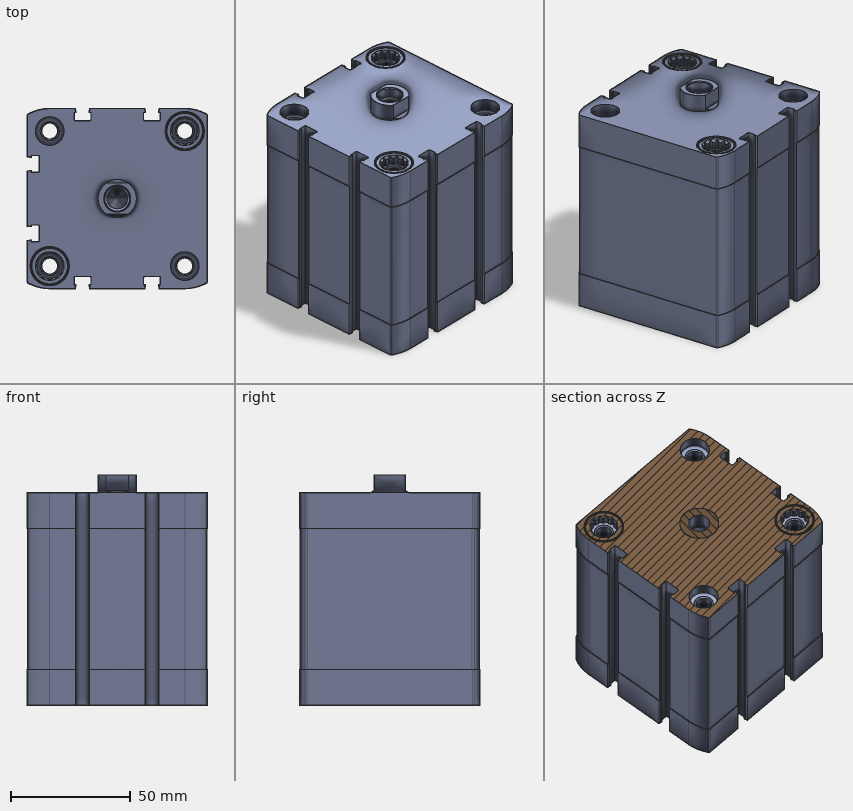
import cadquery as cq
import math

cap_width = 75.5
barrel_inset = 0.25
housing_height = 89.0
cap_height = 15.0
barrel_height = housing_height - 2 * cap_height
corner_arc_radius = 19.0
corner_edge_fillet = 1.0
screw_offset = 28.25

slot_offset = 14.53
slot_mouth_width = 5.9
slot_mouth_depth = 1.0
slot_neck_width = 5.5
slot_neck_depth = 1.8
slot_inner_width = 6.9
slot_corner_fillet = 0.4
slot_depth = 5.1
slot_side_angles = (0, 90, 180)

thread_core_diameter = 6.65
thread_mouth_diameter = 8.0
thread_mouth_depth = 0.4
counterbore_diameter = 12.0
counterbore_depth = 5.3

groove_diameter = 16.4
insert_diameter = 15.5
insert_chamfer = 0.3
groove_depth = 1.0
insert_recess = 0.2
insert_top = housing_height - insert_recess
socket_tip_diameter = 12.0
socket_bore_diameter = 10.5
socket_square_count = 3
socket_mouth_depth = 1.3
socket_depth = 4.5
socket_floor = housing_height - socket_depth

rod_diameter = 16.0
rod_projection = 7.5
rod_insertion = cap_height
rod_top = housing_height + rod_projection
rod_flats = 13.0
flat_ramp_angle = 30.0
rod_mouth_diameter = 11.3
rod_counterbore_diameter = 10.5
rod_counterbore_depth = 4.5
rod_core_diameter = 8.57
rod_core_depth = 16.0
drill_tip_half_angle = 59.0


def rounded_block(width, base_z, height):
    """Square block whose corners bulge along arcs that start at the screw positions."""
    half = width / 2
    run = half - screw_offset
    rise = math.sqrt(corner_arc_radius**2 - run**2)
    drop = corner_arc_radius - rise
    mid_angle = math.asin(run / corner_arc_radius) / 2
    mid_x = screw_offset + corner_arc_radius * math.sin(mid_angle)
    mid_y = half - corner_arc_radius * (1 - math.cos(mid_angle))
    end_y = half - drop
    block = (
        cq.Workplane("XY", origin=(0, 0, base_z))
        .moveTo(-screw_offset, half)
        .lineTo(screw_offset, half)
        .threePointArc((mid_x, mid_y), (half, end_y))
        .lineTo(half, -end_y)
        .threePointArc((mid_x, -mid_y), (screw_offset, -half))
        .lineTo(-screw_offset, -half)
        .threePointArc((-mid_x, -mid_y), (-half, -end_y))
        .lineTo(-half, end_y)
        .threePointArc((-mid_x, mid_y), (-screw_offset, half))
        .close()
        .extrude(height)
    )
    for side in (">X", "<X"):
        block = block.faces(side).edges("|Z").fillet(corner_edge_fillet)
    return block


def side_slots(side_angle):
    """Pair of full-height T-slots with stepped mouths in the -Y side, turned about Z to the chosen side."""
    outer_y = -cap_width / 2
    neck = (
        cq.Workplane("XY", origin=(0, outer_y + slot_depth / 2, 0))
        .rect(slot_neck_width, slot_depth)
        .extrude(housing_height)
    )
    mouth = (
        cq.Workplane("XY", origin=(0, outer_y + slot_mouth_depth / 2, 0))
        .rect(slot_mouth_width, slot_mouth_depth)
        .extrude(housing_height)
    )
    inner_length = slot_depth - slot_neck_depth
    inner = (
        cq.Workplane("XY", origin=(0, outer_y + slot_depth - inner_length / 2, 0))
        .rect(slot_inner_width, inner_length)
        .extrude(housing_height)
        .edges("|Z and >Y")
        .fillet(slot_corner_fillet)
    )
    slot = neck.union(mouth).union(inner)
    pair = slot.translate((-slot_offset, 0, 0)).union(slot.translate((slot_offset, 0, 0)))
    return pair.rotate((0, 0, 0), (0, 0, 1), -side_angle)


def cone(large_diameter, small_diameter, top_z, depth):
    """Downward-narrowing cone on the Z axis."""
    top_centre = cq.Vector(0, 0, top_z)
    downward = cq.Vector(0, 0, -1)
    return cq.Workplane(
        cq.Solid.makeCone(large_diameter / 2, small_diameter / 2, depth, top_centre, downward)
    )


def cylinder(diameter, top_z, depth):
    """Cylinder on the Z axis, extending down from its top."""
    return cq.Workplane("XY", origin=(0, 0, top_z)).circle(diameter / 2).extrude(-depth)


def threaded_through_hole(top_z):
    core = cylinder(thread_core_diameter, top_z, top_z)
    return core.union(cone(thread_mouth_diameter, thread_core_diameter, top_z, thread_mouth_depth))


def counterbored_hole():
    bore = cylinder(counterbore_diameter, housing_height, counterbore_depth)
    return bore.union(threaded_through_hole(housing_height - counterbore_depth))


def insert_clearance():
    """Space above the recessed insert and around its chamfered rim."""
    pocket = cylinder(groove_diameter, housing_height, groove_depth)
    insert_end = cylinder(insert_diameter, insert_top, groove_depth - insert_recess)
    return pocket.cut(insert_end.faces(">Z").chamfer(insert_chamfer))


def spline_socket():
    """Bore with twelve right-angled grooves, formed by three squares turned about its axis."""
    depth = insert_top - socket_floor
    socket = cylinder(socket_bore_diameter, insert_top, depth)
    socket = socket.union(cone(socket_tip_diameter, socket_bore_diameter, insert_top, socket_mouth_depth))
    square = cq.Workplane("XY", origin=(0, 0, insert_top)).polygon(4, socket_tip_diameter).extrude(-depth)
    for index in range(socket_square_count):
        angle = index * 90 / socket_square_count
        socket = socket.union(square.rotate((0, 0, 0), (0, 0, 1), angle))
    return socket


def socketed_hole():
    return insert_clearance().union(spline_socket()).union(threaded_through_hole(socket_floor))


def make_housing():
    body = rounded_block(cap_width, 0, cap_height)
    body = body.union(rounded_block(cap_width - 2 * barrel_inset, cap_height, barrel_height))
    body = body.union(rounded_block(cap_width, housing_height - cap_height, cap_height))
    for angle in slot_side_angles:
        body = body.cut(side_slots(angle))
    for sign in (-1, 1):
        body = body.cut(socketed_hole().translate((sign * screw_offset, sign * screw_offset, 0)))
        body = body.cut(counterbored_hole().translate((sign * screw_offset, -sign * screw_offset, 0)))
    return body.cut(cylinder(rod_diameter, housing_height, rod_insertion))


def rod_flat_cut():
    """Profile removed beside the +Y spanner flat, ending in a ramp at the cap face."""
    radius = rod_diameter / 2
    flat_y = rod_flats / 2
    ramp_rise = (radius - flat_y) * math.tan(math.radians(flat_ramp_angle))
    return (
        cq.Workplane("YZ")
        .polyline([
            (flat_y, rod_top),
            (flat_y, housing_height + ramp_rise),
            (radius, housing_height),
            (radius, rod_top),
        ])
        .close()
        .extrude(radius, both=True)
    )


def rod_bore():
    """Chamfered counterbore stepping through a cone into a drilled core hole."""
    mouth_depth = (rod_mouth_diameter - rod_counterbore_diameter) / 2
    step_depth = (rod_counterbore_diameter - rod_core_diameter) / 2
    tip_depth = rod_core_diameter / 2 / math.tan(math.radians(drill_tip_half_angle))
    bore = cylinder(rod_counterbore_diameter, rod_top, rod_counterbore_depth)
    bore = bore.union(cone(rod_mouth_diameter, rod_counterbore_diameter, rod_top, mouth_depth))
    step_z = rod_top - rod_counterbore_depth
    bore = bore.union(cone(rod_counterbore_diameter, rod_core_diameter, step_z, step_depth))
    bore = bore.union(cylinder(rod_core_diameter, rod_top, rod_core_depth))
    return bore.union(cone(rod_core_diameter, 0, rod_top - rod_core_depth, tip_depth))


def make_rod():
    rod = cylinder(rod_diameter, rod_top, rod_projection + rod_insertion)
    flat = rod_flat_cut()
    return rod.cut(flat).cut(flat.mirror("XZ")).cut(rod_bore())


housing = make_housing()
rod = make_rod()
result = cq.Compound.makeCompound([housing.val(), rod.val()])